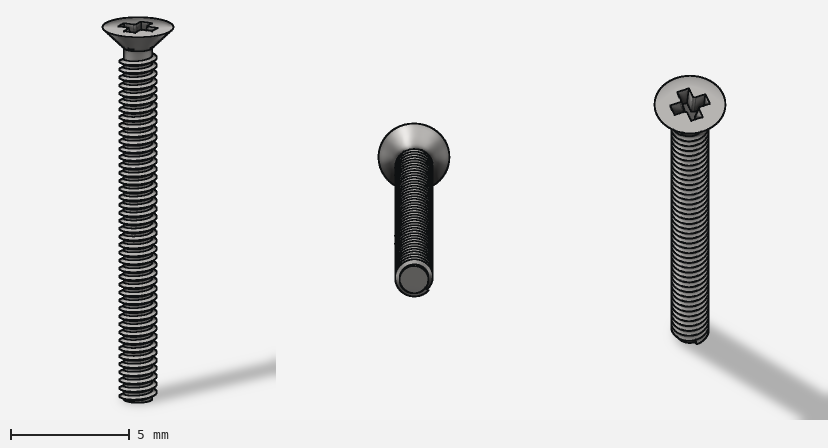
import cadquery as cq
import math


head_diameter = 3.0
core_diameter = 1.22
core_length = 16.33
cone_half_angle = 45.0

thread_diameter = 1.6
pitch = 0.35
thread_length = 15.0
thread_bottom = -16.35
flank_half_angle = 30.0
root_overlap = 0.01

recess_span = 1.6
recess_arm_width = 0.53
recess_depth = 0.8
recess_corner_radius = 0.1
wall_taper_angle = 10.0


def make_blank():
    """Revolved countersunk head and plain core."""
    head_radius = head_diameter / 2
    core_radius = core_diameter / 2
    cone_height = (head_radius - core_radius) / math.tan(math.radians(cone_half_angle))
    return (
        cq.Workplane("XZ")
        .moveTo(0, 0)
        .lineTo(head_radius, 0)
        .lineTo(core_radius, -cone_height)
        .lineTo(core_radius, -core_length)
        .lineTo(0, -core_length)
        .close()
        .revolve(360, (0, 0, 0), (0, 1, 0))
    )


def make_thread():
    """Right-handed V ridge that starts on the -X side and climbs toward the head."""
    crest_radius = thread_diameter / 2
    core_radius = core_diameter / 2
    root_radius = core_radius - root_overlap
    flank_slope = math.tan(math.radians(flank_half_angle))
    root_half_width = (crest_radius - root_radius) * flank_slope
    start_height = thread_bottom + root_half_width

    helix = cq.Wire.makeHelix(pitch, thread_length, root_radius)
    ridge = (
        cq.Workplane("XZ")
        .moveTo(root_radius, -root_half_width)
        .lineTo(crest_radius, 0)
        .lineTo(root_radius, root_half_width)
        .close()
        .sweep(cq.Workplane(helix), isFrenet=True)
    )
    return ridge.rotate((0, 0, 0), (0, 0, 1), 180).translate((0, 0, start_height))


def recess_arm(length, width):
    """Tapered slot along X, widest at the head top."""
    inset = recess_depth * math.tan(math.radians(wall_taper_angle))
    return (
        cq.Workplane("XY")
        .rect(length, width)
        .workplane(offset=-recess_depth)
        .rect(length - 2 * inset, width - 2 * inset)
        .loft(ruled=True)
    )


def make_recess():
    """Two equal tapered slots crossing at right angles."""
    arm = recess_arm(recess_span, recess_arm_width)
    cross = arm.union(arm.rotate((0, 0, 0), (0, 0, 1), 90))
    corner_reach = recess_arm_width
    near_axis = cq.selectors.BoxSelector(
        (-corner_reach, -corner_reach, -recess_depth),
        (corner_reach, corner_reach, 0),
    )
    inner_corners = cross.edges("not #Z").edges(near_axis)
    return inner_corners.fillet(recess_corner_radius)


result = make_blank().union(make_thread()).cut(make_recess())